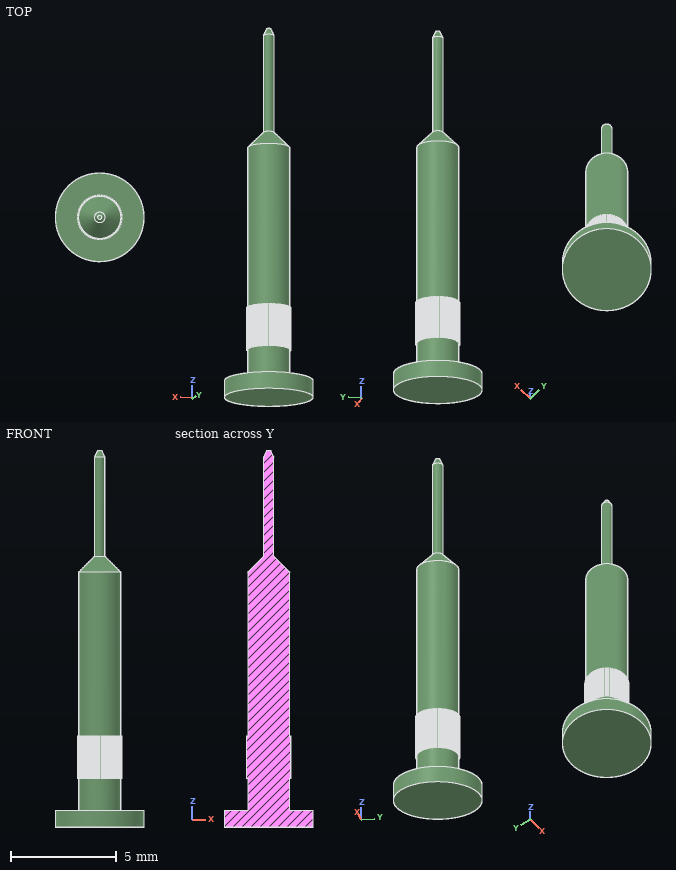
import cadquery as cq

total_height = 17.8
flange_diameter = 4.2
flange_thickness = 0.8

barrel_diameter = 2.0
shoulder_bottom = 12.05
shoulder_top = 12.8

pin_diameter = 0.5
tip_height = 0.32
tip_flat_diameter = 0.2

knurl_bottom = 2.3
knurl_height = 2.01
knurl_diameter = 2.1
tooth_count = 60
tooth_width = 0.046
tooth_overlap = 0.05


def turned_body():
    """Flange, barrel, shoulder, pin and tip as one revolved profile."""
    profile = [
        (0, 0),
        (flange_diameter / 2, 0),
        (flange_diameter / 2, flange_thickness),
        (barrel_diameter / 2, flange_thickness),
        (barrel_diameter / 2, shoulder_bottom),
        (pin_diameter / 2, shoulder_top),
        (pin_diameter / 2, total_height - tip_height),
        (tip_flat_diameter / 2, total_height),
        (0, total_height),
    ]
    return cq.Workplane("XZ").polyline(profile).close().revolve(360, (0, 0, 0), (0, 1, 0))


def knurl_teeth():
    """Ring of straight teeth, evenly spaced around the barrel with one on the +X axis."""
    root_radius = barrel_diameter / 2 - tooth_overlap
    tip_radius = knurl_diameter / 2
    teeth = (
        cq.Workplane("XY", origin=(0, 0, knurl_bottom))
        .polarArray((root_radius + tip_radius) / 2, 0, 360, tooth_count)
        .rect(tip_radius - root_radius, tooth_width)
        .extrude(knurl_height)
    )
    rounded_tips = cq.Workplane("XY").circle(tip_radius).extrude(total_height)
    return teeth.intersect(rounded_tips)


result = turned_body().union(knurl_teeth())